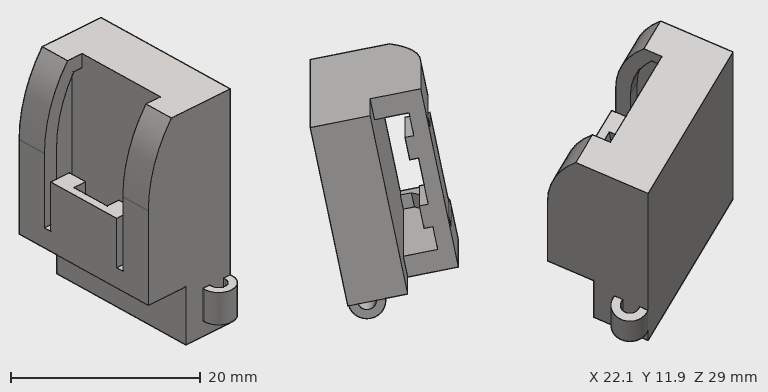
import cadquery as cq
import math


body_width = 19.8
body_depth = 11.9
body_height = 28.95
foot_depth = 6.45
foot_height = 7.2

shoulder_start_z = 18.9
top_face_depth = 8.55
shoulder_drop = body_depth - top_face_depth
shoulder_rise = body_height - shoulder_start_z
shoulder_radius = (shoulder_rise**2 + shoulder_drop**2) / (2 * shoulder_drop)

skin = 1.75
cavity_width = 15.15

window_width = 12.0
window_bottom_z = 9.7
flap_width = 10.1
flap_top_z = 15.8
flap_leg_width = 2.5
flap_leg_depth = 2.7
flap_web_depth = 1.0

loop_outer_radius = 2.0
loop_hole_diameter = 2.0
loop_offset = 0.3
loop_bottom_z = 1.97
loop_height = 4.0


def front_profile(inset, back_depth, bottom_z):
    """Side outline on the YZ plane that follows the curved front, set in from front and top by inset."""
    radius = shoulder_radius - inset
    center_y = shoulder_radius - body_depth
    front_y = center_y - radius
    top_z = body_height - inset

    def arc_y(z):
        return center_y - math.sqrt(radius**2 - (z - shoulder_start_z) ** 2)

    middle_z = (shoulder_start_z + top_z) / 2
    return (
        cq.Workplane("YZ")
        .moveTo(-back_depth, bottom_z)
        .lineTo(front_y, bottom_z)
        .lineTo(front_y, shoulder_start_z)
        .threePointArc((arc_y(middle_z), middle_z), (arc_y(top_z), top_z))
        .lineTo(-back_depth, top_z)
        .close()
    )


def block(width, back_depth, front_depth, bottom_z, top_z):
    """Box centred on X = 0, between two depths measured from the back face."""
    return (
        cq.Workplane("XY", origin=(0, -(back_depth + front_depth) / 2, bottom_z))
        .rect(width, front_depth - back_depth)
        .extrude(top_z - bottom_z)
    )


def make_shell():
    """Foot and upper housing, hollowed out behind the front skin and open underneath."""
    foot = block(body_width, 0, foot_depth, 0, foot_height)
    housing = front_profile(0, 0, foot_height).extrude(body_width / 2, both=True)
    cavity = front_profile(skin, foot_depth, foot_height).extrude(cavity_width / 2, both=True)
    return foot.union(housing).cut(cavity)


def make_window():
    """Opening through the front skin and the top wall."""
    return block(window_width, foot_depth, body_depth, window_bottom_z, body_height)


def make_flap():
    """Latch flap: two thick legs joined by a web that tapers from skin thickness to a thin top edge."""
    legs = block(
        flap_width, body_depth - flap_leg_depth, body_depth, foot_height, flap_top_z
    ).cut(
        block(flap_width - 2 * flap_leg_width, 0, body_depth, foot_height, flap_top_z)
    )
    web = (
        cq.Workplane("YZ")
        .moveTo(-body_depth, foot_height)
        .lineTo(skin - body_depth, foot_height)
        .lineTo(skin - body_depth, window_bottom_z)
        .lineTo(flap_web_depth - body_depth, flap_top_z)
        .lineTo(-body_depth, flap_top_z)
        .close()
        .extrude(flap_width / 2 - flap_leg_width, both=True)
    )
    return legs.union(web)


def make_loop():
    """Half-round eye on the +X side, flush with the back face."""
    side_x = body_width / 2
    center_x = side_x + loop_offset

    def rounded_tab(radius):
        return (
            cq.Workplane("XY", origin=(0, -loop_outer_radius, loop_bottom_z))
            .moveTo(side_x, radius)
            .lineTo(center_x, radius)
            .threePointArc((center_x + radius, 0), (center_x, -radius))
            .lineTo(side_x, -radius)
            .close()
            .extrude(loop_height)
        )

    return rounded_tab(loop_outer_radius).cut(rounded_tab(loop_hole_diameter / 2))


result = make_shell().cut(make_window()).union(make_flap()).union(make_loop())